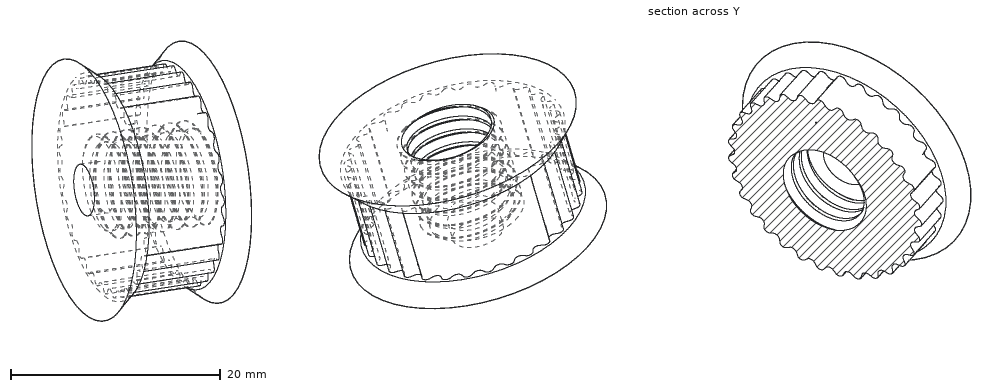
import cadquery as cq
import math

flange_diameter = 25.35
flange_base_diameter = 22.16
flange_thickness = 2.0
width = 12.0

tooth_count = 31
tip_diameter = 21.5
root_diameter = 20.03
tip_round = 0.5
tip_width = 0.75
tip_handle = 0.15
groove_handle = 0.38

shaft_diameter = 5.0
shaft_depth = flange_thickness
thread_crest_diameter = 8.52
thread_root_diameter = 10.2
thread_pitch = 1.5
thread_root_flat = 0.13
thread_flank_angle = math.radians(30)
thread_lead_in = 0.85
groove_overlap = 0.05

front_y = -width / 2
back_y = width / 2
half_pitch = math.pi / tooth_count


def tooth_half_profile():
    """Return one half tooth as (radial height, sideways offset) points.

    The first three points are the tip arc: crown, middle and end. The end of the arc and the
    last three points control the S-shaped flank, which leaves the arc along its tangent and
    reaches the groove centre square to the tooth axis.
    """
    tip = tip_diameter / 2
    groove_height = root_diameter / 2 * math.cos(half_pitch)
    groove_offset = root_diameter / 2 * math.sin(half_pitch)
    tip_angle = math.asin(tip_width / 2 / tip_round)

    def on_tip(angle):
        return tip - tip_round * (1 - math.cos(angle)), tip_round * math.sin(angle)

    flank_height, flank_offset = on_tip(tip_angle)
    return [
        on_tip(0),
        on_tip(tip_angle / 2),
        (flank_height, flank_offset),
        (flank_height - tip_handle * math.sin(tip_angle), flank_offset + tip_handle * math.cos(tip_angle)),
        (groove_height, groove_offset - groove_handle),
        (groove_height, groove_offset),
    ]


def toothed_core():
    """Toothed barrel running the full width of the pulley."""
    half = tooth_half_profile()

    def place(point, side, tooth):
        """Turn a half-tooth point, on either side of its tooth, into X and Z."""
        angle = math.pi + 2 * half_pitch * tooth
        height, offset = point[0], side * point[1]
        x = height * math.cos(angle) - offset * math.sin(angle)
        z = height * math.sin(angle) + offset * math.cos(angle)
        return x, z

    outline = cq.Workplane("XZ", origin=(0, back_y, 0)).moveTo(*place(half[5], -1, 0))
    for tooth in range(tooth_count):
        rising = [place(point, -1, tooth) for point in reversed(half)]
        falling = [place(point, 1, tooth) for point in half]
        outline = (
            outline.bezier(rising[1:4], includeCurrent=True)
            .threePointArc(falling[0], falling[2])
            .bezier(falling[3:], includeCurrent=True)
        )
    return outline.close().extrude(width)


def flange(outer_y, inner_y):
    """Conical flange, widest at its outer face."""
    return (
        cq.Workplane("XY")
        .moveTo(0, outer_y)
        .lineTo(flange_diameter / 2, outer_y)
        .lineTo(flange_base_diameter / 2, inner_y)
        .lineTo(0, inner_y)
        .close()
        .revolve(360, (0, 0, 0), (0, 1, 0))
    )


def bore_step(diameter, start_depth, end_depth):
    """Cylinder on the pulley axis between two depths below the front face."""
    start = cq.Workplane("XZ", origin=(0, front_y + start_depth, 0))
    return start.circle(diameter / 2).extrude(start_depth - end_depth)


def thread_groove():
    """Helical trapezoid groove, trimmed to the threaded length of the bore."""
    thread_length = width - shaft_depth
    crest_radius = thread_crest_diameter / 2
    root_radius = thread_root_diameter / 2
    base_radius = crest_radius - groove_overlap
    root_half = thread_root_flat / 2
    base_half = root_half + (root_radius - base_radius) * math.tan(thread_flank_angle)

    helix = cq.Wire.makeHelix(thread_pitch, thread_length + 2 * thread_pitch, crest_radius)
    groove = (
        cq.Workplane("XZ")
        .polyline(
            [
                (base_radius, -base_half),
                (root_radius, -root_half),
                (root_radius, root_half),
                (base_radius, base_half),
            ]
        )
        .close()
        .sweep(cq.Workplane(helix), isFrenet=True)
        .rotate((0, 0, 0), (1, 0, 0), -90)
        .translate((0, front_y + shaft_depth - thread_lead_in, 0))
    )
    return groove.intersect(bore_step(thread_root_diameter + 2 * groove_overlap, shaft_depth, width))


result = (
    toothed_core()
    .union(flange(front_y, front_y + flange_thickness))
    .union(flange(back_y, back_y - flange_thickness))
    .cut(bore_step(shaft_diameter, 0, shaft_depth))
    .cut(bore_step(thread_crest_diameter, shaft_depth, width))
    .cut(thread_groove())
)